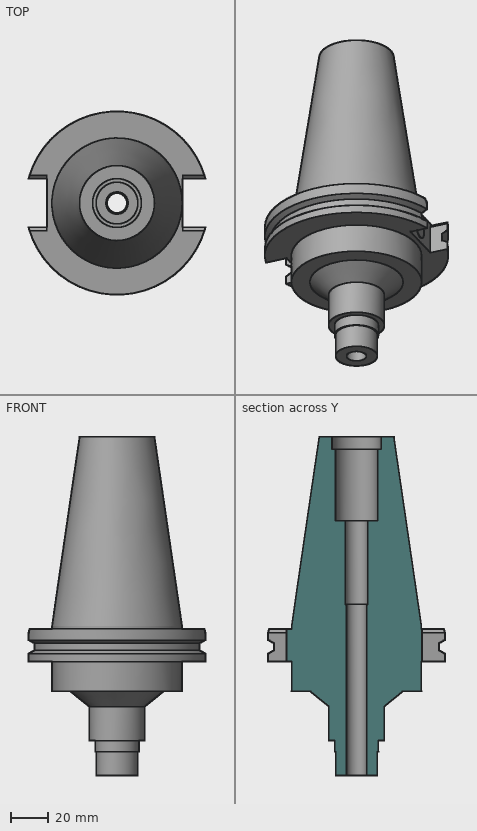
import cadquery as cq
import math


gauge_diameter = 69.85
taper_length = 101.6
taper_ratio = 7 / 24
taper_top_diameter = gauge_diameter - taper_length * taper_ratio

flange_diameter = 98.425
flange_top_z = -1.5
flange_bottom_z = -19.05

groove_center_z = -11.1
groove_floor_diameter = 92.2
groove_floor_width = 3.7
groove_wall_angle = 30

body_bottom_z = -35.0
cone_top_diameter = 50.0
cone_bottom_z = -43.1
neck_diameter = 30.0
neck_bottom_z = -61.4
collar_diameter = 23.6
collar_bottom_z = -67.4
tip_diameter = 22.4
tip_bottom_z = -80.1

slot_width = 25.9
slot_chamfer = 2.0
left_slot_floor = 37.6
right_slot_floor = 35.2

slot_recess_diameter = 9.8
slot_recess_depth = 0.2

counterbore_diameter = 26.2
counterbore_depth = 6.7
bore_diameter = 22.4
bore_depth = 45.0
step_diameter = 11.9
step_depth = 90.0
through_diameter = 10.6


def make_body():
    """Revolve the outer profile: taper, flange with V groove, stepped nose."""
    flange_radius = flange_diameter / 2
    groove_floor_radius = groove_floor_diameter / 2
    groove_wall_height = (flange_radius - groove_floor_radius) * math.tan(math.radians(groove_wall_angle))
    floor_half_width = groove_floor_width / 2
    mouth_half_width = floor_half_width + groove_wall_height
    profile = [
        (0, taper_length),
        (taper_top_diameter / 2, taper_length),
        (gauge_diameter / 2, 0),
        (gauge_diameter / 2, flange_top_z),
        (flange_radius, flange_top_z),
        (flange_radius, groove_center_z + mouth_half_width),
        (groove_floor_radius, groove_center_z + floor_half_width),
        (groove_floor_radius, groove_center_z - floor_half_width),
        (flange_radius, groove_center_z - mouth_half_width),
        (flange_radius, flange_bottom_z),
        (gauge_diameter / 2, flange_bottom_z),
        (gauge_diameter / 2, body_bottom_z),
        (cone_top_diameter / 2, body_bottom_z),
        (neck_diameter / 2, cone_bottom_z),
        (neck_diameter / 2, neck_bottom_z),
        (collar_diameter / 2, neck_bottom_z),
        (collar_diameter / 2, collar_bottom_z),
        (tip_diameter / 2, collar_bottom_z),
        (tip_diameter / 2, tip_bottom_z),
        (0, tip_bottom_z),
    ]
    return cq.Workplane("XZ").polyline(profile).close().revolve(360, (0, 0), (0, 1))


def make_slot_cutter(side, floor_distance):
    """Drive slot through the flange on the +X (side = 1) or -X (side = -1) side."""
    half_width = slot_width / 2
    mouth_half_width = half_width + slot_chamfer
    chamfer_z = flange_top_z - slot_chamfer
    outline = [
        (-half_width, flange_bottom_z),
        (half_width, flange_bottom_z),
        (half_width, chamfer_z),
        (mouth_half_width, flange_top_z),
        (-mouth_half_width, flange_top_z),
        (-half_width, chamfer_z),
    ]
    slot_length = flange_diameter / 2 - floor_distance
    floor_plane = cq.Workplane("YZ", origin=(side * floor_distance, 0, 0))
    return floor_plane.polyline(outline).close().extrude(side * slot_length)


def make_slot_recess_cutter():
    """Shallow round recess sunk into the left slot floor."""
    start = cq.Workplane("YZ", origin=(-left_slot_floor, 0, groove_center_z))
    return start.circle(slot_recess_diameter / 2).extrude(slot_recess_depth)


def make_bore_cutter(diameter, depth):
    """Axial hole of the given depth from the top face."""
    top_face = cq.Workplane("XY", origin=(0, 0, taper_length))
    return top_face.circle(diameter / 2).extrude(-depth)


result = make_body()
result = result.cut(make_slot_cutter(-1, left_slot_floor))
result = result.cut(make_slot_cutter(1, right_slot_floor))
result = result.cut(make_slot_recess_cutter())

bore_steps = [
    (counterbore_diameter, counterbore_depth),
    (bore_diameter, bore_depth),
    (step_diameter, step_depth),
    (through_diameter, taper_length - tip_bottom_z),
]
for diameter, depth in bore_steps:
    result = result.cut(make_bore_cutter(diameter, depth))